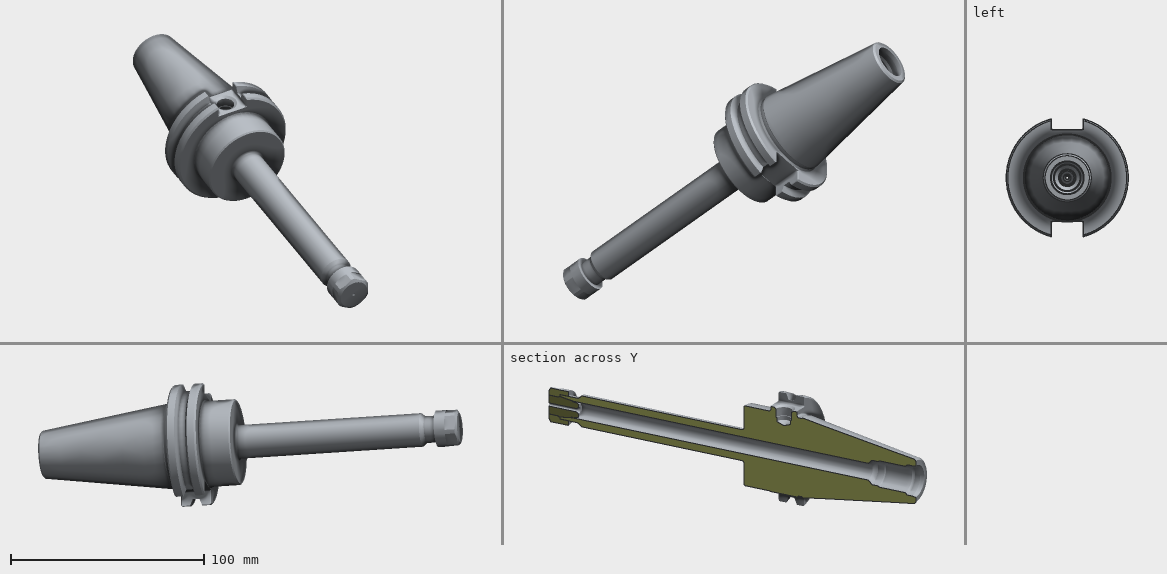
import cadquery as cq
import math


taper_slope = 7 / 48
gauge_x = 68.2
gauge_radius = 22.3
taper_end_chamfer = 0.9

relief_depth = 0.5
relief_root_rise = 0.9

flange_start = 71.5
flange_width = 15.9
flange_radius = 31.66
flange_chamfer = 0.9
groove_center = 79.5
groove_mouth_width = 6.6
groove_floor_width = 3.5
groove_floor_radius = 28.0

slot_width = 16.0
slot_edge_chamfer = 0.5
slot_fillet = 0.7
upper_slot_floor = 25.0
lower_slot_floor = 22.5

hole_mouth_radius = 6.0
hole_radius = 4.52
hole_countersink_depth = 0.9
hole_depth = 5.5
drill_radius = 4.0
drill_depth = 7.7
drill_half_angle = 70

body_radius = 22.3
body_end = 103.5
body_chamfer = 0.7
body_root_fillet = 0.7
shank_radius = 8.72
shank_end = 200.8
shank_root_fillet = 1.0
shank_cone_length = 2.2
nose_radius = 6.95
nose_end = 214

mouth_radius = 8.72
mouth_depth = 2.2
counterbore_radius = 8.27
counterbore_end = 5.3
thread_radius = 7.17
thread_end = 22
drilled_radius = 6.6
drilled_end = 26.5
through_radius = 4.52

collet_start = 202.5
collet_taper_angle = 8
collet_rear_radius = 4.0
collet_rear_chamfer = 0.55
collet_front_radius = 5.0
collet_shoulder_angle = 30
collet_bore_radius = 0.761
collet_mouth_radius = 2.0

nut_start = 208.7
nut_end = 220.6
nut_radius = 9.5
nut_flat_start = 213.5
nut_across_flats = 17.5
nut_sides = 6
nut_chamfer_length = 1.0
nut_chamfer_depth = 1.8

flange_end = flange_start + flange_width
taper_end_radius = gauge_radius - taper_slope * gauge_x
relief_radius = gauge_radius - relief_depth
collet_slope = math.tan(math.radians(collet_taper_angle))
collet_max_radius = collet_rear_radius + (nose_end - collet_start) * collet_slope
collet_seat_start = collet_start + (through_radius - collet_rear_radius) / collet_slope
collet_shoulder_length = (collet_max_radius - collet_front_radius) / math.tan(
    math.radians(collet_shoulder_angle)
)
collet_shoulder_end = nose_end + collet_shoulder_length


def turned(profile):
    """Solid of revolution about the X axis from (x, radius) points."""
    return cq.Workplane("XY").polyline(profile).close().revolve(360, (0, 0, 0), (1, 0, 0))


def root_fillet(face_x, radius, fillet):
    """Ring that rounds the corner where a cylinder of this radius leaves a face."""
    middle = fillet * (1 - math.sqrt(0.5))
    return (
        cq.Workplane("XY")
        .moveTo(face_x, radius - fillet)
        .lineTo(face_x, radius + fillet)
        .threePointArc((face_x + middle, radius + middle), (face_x + fillet, radius))
        .lineTo(face_x + fillet, radius - fillet)
        .close()
        .revolve(360, (0, 0, 0), (1, 0, 0))
    )


def holder_outside():
    blank = turned([
        (0, 0),
        (0, taper_end_radius - taper_end_chamfer),
        (taper_end_chamfer, taper_end_radius + taper_slope * taper_end_chamfer),
        (gauge_x, gauge_radius),
        (gauge_x + relief_depth, relief_radius),
        (flange_start - relief_root_rise, relief_radius),
        (flange_start, relief_radius + relief_root_rise),
        (flange_start, flange_radius - flange_chamfer),
        (flange_start + flange_chamfer, flange_radius),
        (groove_center - groove_mouth_width / 2, flange_radius),
        (groove_center - groove_floor_width / 2, groove_floor_radius),
        (groove_center + groove_floor_width / 2, groove_floor_radius),
        (groove_center + groove_mouth_width / 2, flange_radius),
        (flange_end - flange_chamfer, flange_radius),
        (flange_end, flange_radius - flange_chamfer),
        (flange_end, body_radius),
        (body_end - body_chamfer, body_radius),
        (body_end, body_radius - body_chamfer),
        (body_end, shank_radius),
        (shank_end, shank_radius),
        (shank_end + shank_cone_length, nose_radius),
        (nose_end, nose_radius),
        (nose_end, 0),
    ])
    blank = blank.union(root_fillet(flange_end, body_radius, body_root_fillet))
    return blank.union(root_fillet(body_end, shank_radius, shank_root_fillet))


def holder_bore():
    return turned([
        (0, 0),
        (0, mouth_radius),
        (mouth_depth, counterbore_radius),
        (counterbore_end, counterbore_radius),
        (counterbore_end + counterbore_radius - thread_radius, thread_radius),
        (thread_end, thread_radius),
        (thread_end + thread_radius - drilled_radius, drilled_radius),
        (drilled_end, drilled_radius),
        (drilled_end + drilled_radius - through_radius, through_radius),
        (collet_seat_start, through_radius),
        (nose_end, collet_max_radius),
        (nose_end, 0),
    ])


def drive_slot(floor_height):
    """Cutter for a slot on the +Z side, with rounded floor corners and chamfered mouths."""
    half_width = slot_width / 2
    flared_half_width = half_width + slot_edge_chamfer
    channel = (
        cq.Workplane("XY", origin=(flange_start, 0, floor_height))
        .box(flange_width, slot_width, flange_radius, centered=(False, True, False))
        .edges("|X and <Z")
        .fillet(slot_fillet)
    )
    face_flares = (
        cq.Workplane("XY", origin=(0, 0, floor_height))
        .polyline([
            (flange_start, -flared_half_width),
            (flange_start + slot_edge_chamfer, -half_width),
            (flange_end - slot_edge_chamfer, -half_width),
            (flange_end, -flared_half_width),
            (flange_end, flared_half_width),
            (flange_end - slot_edge_chamfer, half_width),
            (flange_start + slot_edge_chamfer, half_width),
            (flange_start, flared_half_width),
        ])
        .close()
        .extrude(flange_radius)
    )
    face_flares = face_flares.cut(
        cq.Workplane("XY", origin=(flange_start + slot_edge_chamfer, 0, floor_height)).box(
            flange_width - 2 * slot_edge_chamfer, slot_width, slot_fillet, centered=(False, True, False)
        )
    )
    rim_height = math.sqrt(flange_radius**2 - half_width**2)
    flare_bottom = rim_height - slot_edge_chamfer
    flare_rise = flange_radius - flare_bottom
    rim_flare = (
        cq.Workplane("YZ", origin=(flange_start, 0, 0))
        .polyline([
            (-half_width, flare_bottom),
            (half_width, flare_bottom),
            (half_width + flare_rise, flange_radius),
            (-half_width - flare_rise, flange_radius),
        ])
        .close()
        .extrude(flange_width)
    )
    return channel.union(face_flares).union(rim_flare)


def slot_hole():
    """Cutter for the countersunk, stepped hole with a drill tip."""
    drill_tip_depth = drill_depth + drill_radius / math.tan(math.radians(drill_half_angle))
    return (
        cq.Workplane("XZ", origin=(groove_center, 0, upper_slot_floor))
        .polyline([
            (0, 0),
            (hole_mouth_radius, 0),
            (hole_radius, -hole_countersink_depth),
            (hole_radius, -hole_depth),
            (drill_radius, -hole_depth),
            (drill_radius, -drill_depth),
            (0, -drill_tip_depth),
        ])
        .close()
        .revolve(360, (0, 0, 0), (0, 1, 0))
    )


def make_holder():
    lower_slot = drive_slot(lower_slot_floor).rotate((0, 0, 0), (1, 0, 0), 180)
    return (
        holder_outside()
        .cut(holder_bore())
        .cut(drive_slot(upper_slot_floor))
        .cut(lower_slot)
        .cut(slot_hole())
    )


def nut_flats():
    """Cutter that leaves a hexagon; its conical end makes each flat run out in a curve."""
    inner_radius = nut_across_flats / 2
    outer_radius = nut_radius + 2.2
    ring = turned([
        (nut_flat_start, 0),
        (nut_flat_start, inner_radius),
        (nut_flat_start + outer_radius - inner_radius, outer_radius),
        (nut_end, outer_radius),
        (nut_end, 0),
    ])
    hexagon = (
        cq.Workplane("YZ", origin=(nut_flat_start, 0, 0))
        .polygon(nut_sides, nut_across_flats, circumscribed=True)
        .extrude(nut_end - nut_flat_start)
        .rotate((0, 0, 0), (1, 0, 0), 360 / nut_sides)
    )
    return ring.cut(hexagon)


def make_nut():
    blank = turned([
        (nut_start, nose_radius),
        (nut_start, nut_radius),
        (nut_end - nut_chamfer_length, nut_radius),
        (nut_end, nut_radius - nut_chamfer_depth),
        (nut_end, collet_front_radius),
        (collet_shoulder_end, collet_front_radius),
        (nose_end, collet_max_radius),
        (nose_end, nose_radius),
    ])
    return blank.cut(nut_flats())


def make_collet():
    bore_start = collet_start + collet_mouth_radius - collet_bore_radius
    chamfer_end = collet_start + collet_rear_chamfer
    return turned([
        (collet_start, collet_mouth_radius),
        (collet_start, collet_rear_radius - collet_rear_chamfer),
        (chamfer_end, collet_rear_radius + collet_rear_chamfer * collet_slope),
        (nose_end, collet_max_radius),
        (collet_shoulder_end, collet_front_radius),
        (nut_end, collet_front_radius),
        (nut_end, collet_bore_radius),
        (bore_start, collet_bore_radius),
    ])


holder = make_holder()
nut = make_nut()
collet = make_collet()

result = cq.Compound.makeCompound([holder.val(), nut.val(), collet.val()])